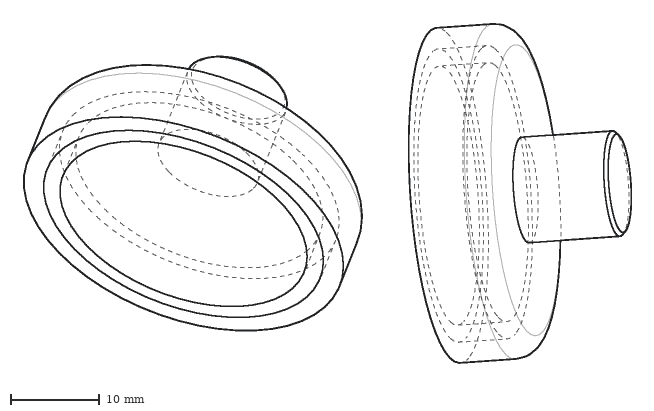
import cadquery as cq

housing_diameter = 38.1
housing_thickness = 9.0
back_edge_radius = 2.5

overall_depth = 20.0
stud_diameter = 12.0
stud_chamfer = 0.42
stud_length = overall_depth - housing_thickness

ring_outer_diameter = 33.35
magnet_diameter = 29.45
pocket_depth = 5.7


def cylinder_along_y(diameter, start, length):
    """Cylinder centred on the Y axis, running from y = start towards +Y."""
    plane = cq.Workplane("XZ", origin=(0, start, 0))
    return plane.circle(diameter / 2).extrude(-length)


def make_housing():
    cup = cylinder_along_y(housing_diameter, 0, housing_thickness)
    cup = cup.faces(">Y").edges().fillet(back_edge_radius)
    stud = cylinder_along_y(stud_diameter, housing_thickness, stud_length)
    stud = stud.faces(">Y").edges().chamfer(stud_chamfer)
    pocket = cylinder_along_y(ring_outer_diameter, 0, pocket_depth)
    return cup.union(stud).cut(pocket)


def make_magnet():
    return cylinder_along_y(magnet_diameter, 0, pocket_depth)


def make_spacer_ring():
    outer = cylinder_along_y(ring_outer_diameter, 0, pocket_depth)
    bore = cylinder_along_y(magnet_diameter, 0, pocket_depth)
    return outer.cut(bore)


housing = make_housing()
magnet = make_magnet()
spacer_ring = make_spacer_ring()

result = cq.Compound.makeCompound([housing.val(), magnet.val(), spacer_ring.val()])